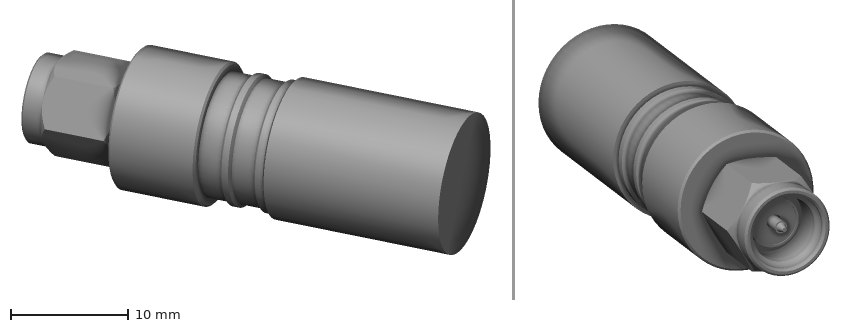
import cadquery as cq
import math

total_length = 39.1

nut_flats = 7.97
nut_barrel_diameter = 7.95
nut_barrel_radius = nut_barrel_diameter / 2
nut_lip_chamfer = 0.2
hex_start = 1.8
hex_end = 8.4
hex_corner_radius = nut_flats / math.sqrt(3)
hex_front_chamfer = 0.65
hex_rear_chamfer = 0.6

socket_radius = 2.9
mouth_radius = 3.5
mouth_chamfer = 0.2
mouth_taper_start = 0.5
mouth_taper_end = 0.95
socket_floor = 3.7

conductor_front = 2.9
conductor_outer_radius = 2.25
conductor_inner_radius = 2.07
dielectric_front = 3.0
pin_radius = 0.55
pin_tip_radius = 0.2
pin_tip_x = 0.7
pin_cone_base_radius = 0.43
pin_shoulder_x = 1.5
pin_hole_radius = 0.65

neck_radius = 3.3
collar_radius = 6.35
collar_start = 8.87
collar_end = 16.85
collar_chamfer = 0.2
waist_radius = 5.5
sleeve_radius = 6.2
sleeve_start = 23.1

ring_radius = 5.82
ring_flank = 0.25
front_ring_start = 18.9
front_ring_end = 19.95
rear_ring_start = 21.93
rear_ring_end = sleeve_start


def turned(points):
    """Solid of revolution about the X axis from (x, radius) points that close along the axis."""
    first_x = points[0][0]
    last_x = points[-1][0]
    outline = [(first_x, 0), *points, (last_x, 0)]
    return cq.Workplane("XY").polyline(outline).close().revolve(360, (0, 0, 0), (1, 0, 0))


def cylinder(start, end, radius):
    return turned([(start, radius), (end, radius)])


def chamfered_cylinder(start, end, radius, chamfer):
    return turned([
        (start, radius - chamfer),
        (start + chamfer, radius),
        (end - chamfer, radius),
        (end, radius - chamfer),
    ])


def ring(start, end):
    return turned([
        (start, waist_radius),
        (start + ring_flank, ring_radius),
        (end - ring_flank, ring_radius),
        (end, waist_radius),
    ])


def nut_hex():
    """Hexagon with flats facing +Z and -Z, its corners turned down at both ends."""
    hexagon = (
        cq.Workplane("YZ", origin=(hex_start, 0, 0))
        .polygon(6, 2 * hex_corner_radius)
        .extrude(hex_end - hex_start)
    )
    corner_limit = turned([
        (hex_start, nut_barrel_radius),
        (hex_start + hex_front_chamfer, hex_corner_radius),
        (hex_end - hex_rear_chamfer, hex_corner_radius),
        (hex_end, nut_barrel_radius),
    ])
    return hexagon.intersect(corner_limit)


def nut_barrel():
    return turned([
        (0, nut_barrel_radius - nut_lip_chamfer),
        (nut_lip_chamfer, nut_barrel_radius),
        (hex_start, nut_barrel_radius),
    ])


def socket():
    return turned([
        (0, mouth_radius),
        (mouth_chamfer, mouth_radius - mouth_chamfer),
        (mouth_taper_start, mouth_radius - mouth_chamfer),
        (mouth_taper_end, socket_radius),
        (socket_floor, socket_radius),
    ])


def conductor():
    """Boss on the socket floor, its face sunk inside the rim and around the pin."""
    boss = cylinder(conductor_front, socket_floor, conductor_outer_radius)
    face_recess = cylinder(conductor_front, dielectric_front, conductor_inner_radius)
    pin_hole = cylinder(dielectric_front, socket_floor, pin_hole_radius)
    return boss.cut(face_recess).cut(pin_hole)


def pin():
    return turned([
        (pin_tip_x, pin_tip_radius),
        (pin_shoulder_x, pin_cone_base_radius),
        (pin_shoulder_x, pin_radius),
        (socket_floor, pin_radius),
    ])


def body():
    waist = cylinder(collar_end, sleeve_start, waist_radius)
    collar = chamfered_cylinder(collar_start, collar_end, collar_radius, collar_chamfer)
    return (
        cylinder(hex_end, collar_start, neck_radius)
        .union(collar)
        .union(waist)
        .union(ring(front_ring_start, front_ring_end))
        .union(ring(rear_ring_start, rear_ring_end))
        .union(cylinder(sleeve_start, total_length, sleeve_radius))
    )


nut = nut_barrel().union(nut_hex()).cut(socket())
result = nut.union(conductor()).union(pin()).union(body())